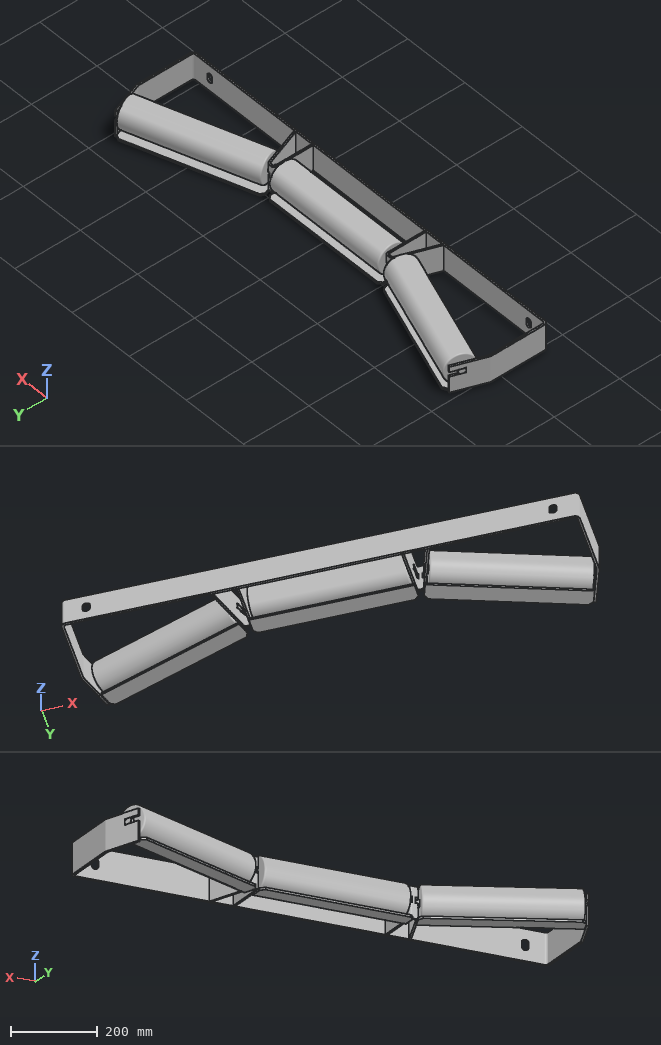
import cadquery as cq
import math


frame_width = 1240.0
frame_height = 80.0
frame_thickness = 6.0
corner_inner_radius = 6.0
corner_outer_radius = corner_inner_radius + frame_thickness
mount_slot_x = 558.0
mount_slot_width = 18.0
mount_slot_length = 26.0

roller_diameter = 89.0
roller_length = 380.0
rim_radius = 4.0
shaft_diameter = 20.0
shaft_flat_width = 14.0
shaft_overhang = 10.0
slot_run_out = 2.0
shaft_length = roller_length + 2 * shaft_overhang

trough_angle = 20.0
tilt_angle = 1.45
centre_roller_y = 101.0
centre_roller_z = 47.0
side_roller_x = 408.0
side_roller_y = 173.5
side_roller_z = centre_roller_z + roller_length / 2 * math.sin(math.radians(tilt_angle))

trough_cos = math.cos(math.radians(trough_angle))
trough_sin = math.sin(math.radians(trough_angle))
trough_tan = math.tan(math.radians(trough_angle))

bracket_thickness = 5.0
bracket_inner_radius = 2.0
bracket_top_y = 127.0

strip_drop = 53.0
strip_thickness = 5.7
strip_width = 44.5
strip_corner_chamfer = 10.0
strip_end_inset = 1.5

arm_tip_past_axis = 32.0

pick_reach = 1.0


def place_side(body):
    """Move a body from the roller's own axes to the right-hand side roller."""
    tilted = body.rotate((0, 0, 0), (0, 1, 0), -tilt_angle)
    turned = tilted.rotate((0, 0, 0), (0, 0, 1), trough_angle)
    return turned.translate((side_roller_x, side_roller_y, side_roller_z))


def place_centre(body):
    """Move a body from the roller's own axes to the centre roller."""
    return body.translate((0, centre_roller_y, centre_roller_z))


def side_point(along, across):
    """XY point at a distance along the right side roller's axis and across it."""
    return (
        side_roller_x + along * trough_cos - across * trough_sin,
        side_roller_y + along * trough_sin + across * trough_cos,
    )


def mirrored(body):
    return body.mirror("YZ")


def round_corner(body, x, y, radius):
    """Fillet the vertical edge of a bent strip that stands at an XY point."""
    low = (x - pick_reach, y - pick_reach, 0)
    high = (x + pick_reach, y + pick_reach, frame_height)
    return body.edges("|Z").edges(cq.selectors.BoxSelector(low, high)).fillet(radius)


def make_centred_cylinder(diameter, length):
    """Cylinder along X, centred on the origin."""
    start_face = cq.Workplane("YZ").workplane(offset=-length / 2)
    return start_face.circle(diameter / 2).extrude(length)


def make_roller():
    """Roller shell with its shaft, centred on the origin along X."""
    shell = make_centred_cylinder(roller_diameter, roller_length)
    shell = shell.faces("<X or >X").edges().fillet(rim_radius)
    shaft = make_centred_cylinder(shaft_diameter, shaft_length)
    flats = cq.Workplane("XY").box(shaft_length, shaft_diameter, shaft_flat_width)
    return shell.union(shaft.intersect(flats))


def make_shaft_slot(end_sign):
    """Open-ended slot for one flattened shaft end, running out towards +Y."""
    depth = shaft_overhang + slot_run_out
    slot_length = roller_diameter
    return (
        cq.Workplane("XY")
        .box(depth, slot_length, shaft_flat_width, centered=(True, False, True))
        .translate((end_sign * (roller_length + depth) / 2, -shaft_diameter / 2, 0))
    )


def make_strip(start, end):
    """Flat strip below the roller from its axis plane to +Y, with the +Y corners clipped."""
    return (
        cq.Workplane("XY")
        .workplane(offset=-strip_drop)
        .moveTo((start + end) / 2, strip_width / 2)
        .rect(end - start, strip_width)
        .extrude(strip_thickness)
        .edges("|Z and >Y")
        .chamfer(strip_corner_chamfer)
    )


def make_frame():
    """Bent strip: long base, two upright arms and two inward-leaning arm tips."""
    half = frame_width / 2
    inner_half = half - frame_thickness
    arm_along = shaft_length / 2
    axis_x, axis_y = side_point(arm_along, 0)
    bend_y = axis_y - (half - axis_x) / trough_tan
    inner_bend_y = bend_y - frame_thickness * math.tan(math.radians(trough_angle / 2))
    outer_tip = side_point(arm_along, arm_tip_past_axis)
    inner_tip = side_point(arm_along - frame_thickness, arm_tip_past_axis)
    right_side = [(half, 0), (half, bend_y), outer_tip, inner_tip]
    right_side += [(inner_half, inner_bend_y), (inner_half, frame_thickness)]
    left_side = [(-x, y) for x, y in reversed(right_side)]
    frame = cq.Workplane("XY").polyline(right_side + left_side).close().extrude(frame_height)

    for x, y in ((half, 0), (half, bend_y)):
        frame = round_corner(frame, x, y, corner_outer_radius)
        frame = round_corner(frame, -x, y, corner_outer_radius)
    for x, y in ((inner_half, frame_thickness), (inner_half, inner_bend_y)):
        frame = round_corner(frame, x, y, corner_inner_radius)
        frame = round_corner(frame, -x, y, corner_inner_radius)

    mount_slots = (
        cq.Workplane("XZ")
        .pushPoints([(-mount_slot_x, frame_height / 2), (mount_slot_x, frame_height / 2)])
        .slot2D(mount_slot_length, mount_slot_width, 90)
        .extrude(-frame_thickness)
    )
    shaft_slot = place_side(make_shaft_slot(1))
    return frame.cut(mount_slots).cut(shaft_slot).cut(mirrored(shaft_slot))


def make_bracket():
    """Right-hand bent bracket holding the centre roller and the side roller."""
    upright_outer = shaft_length / 2
    upright_inner = upright_outer - bracket_thickness
    web_y = bracket_top_y - bracket_thickness
    face_x, face_y = side_point(-shaft_length / 2, 0)
    slant_thickness = bracket_thickness / trough_cos

    def slant_x(y):
        return face_x - (y - face_y) * trough_tan

    outline = [
        (upright_inner, frame_thickness),
        (upright_inner, bracket_top_y),
        (slant_x(bracket_top_y) + slant_thickness, bracket_top_y),
        (slant_x(frame_thickness) + slant_thickness, frame_thickness),
        (slant_x(frame_thickness), frame_thickness),
        (slant_x(web_y), web_y),
        (upright_outer, web_y),
        (upright_outer, frame_thickness),
    ]
    bracket = cq.Workplane("XY").polyline(outline).close().extrude(frame_height)
    for x in (upright_outer, slant_x(web_y)):
        bracket = round_corner(bracket, x, web_y, bracket_inner_radius)
    bracket = bracket.edges("|Z and >Y").fillet(bracket_inner_radius + bracket_thickness)
    return bracket.cut(place_centre(make_shaft_slot(1))).cut(place_side(make_shaft_slot(-1)))


frame = make_frame()

right_bracket = make_bracket()
brackets = [right_bracket, mirrored(right_bracket)]

side_roller = place_side(make_roller())
rollers = [place_centre(make_roller()), side_roller, mirrored(side_roller)]

strip_end = shaft_length / 2 - strip_end_inset
centre_strip = place_centre(make_strip(-strip_end, strip_end))
side_strip = place_side(make_strip(-strip_end, strip_end - frame_thickness))
strips = [centre_strip, side_strip, mirrored(side_strip)]

bodies = [frame, *brackets, *rollers, *strips]
result = cq.Compound.makeCompound([body.val() for body in bodies])